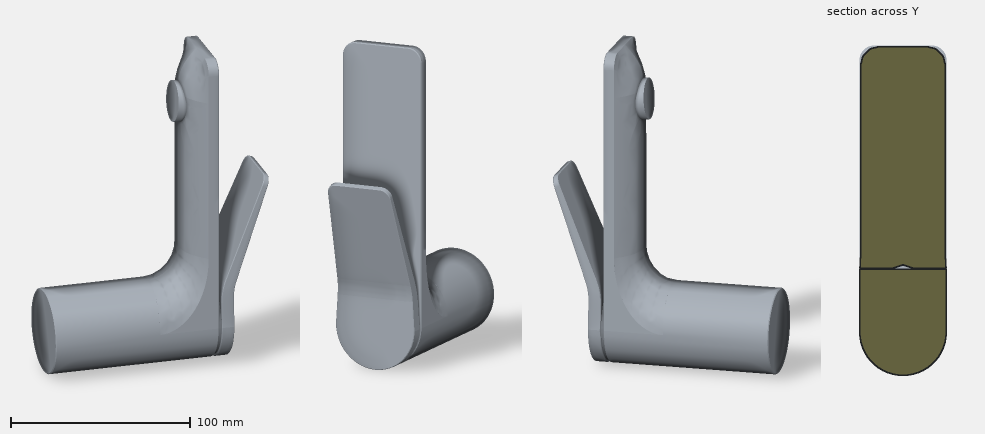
import cadquery as cq
import math


barrel_radius = 24.25
barrel_length = 95.1
housing_height = 184.0
top_z = housing_height - barrel_radius
plate_thickness = 6.2
top_corner_radius = 8.0
edge_chamfer = 0.5

crown_depth = 10.7
crown_edge_angle = 45.0
crown_edge_handle = 11.0
crown_apex_handle = 12.0
cap_bottom_z = top_z - barrel_radius

elbow_top_z = 42.4
elbow_front_y = -34.4
elbow_foot_reach = -plate_thickness - elbow_front_y
elbow_steps = 6

circle_edge_angle = 90.0
circle_handle = barrel_radius * 4 / 3 * (math.sqrt(2) - 1)

aerator_radius = 11.7
aerator_center_z = 129.65
aerator_face_y = -20.1
aerator_tilt_angle = 4.5
aerator_length = 8.0

spacer_radius = 23.0
spacer_thickness = 1.6

lever_thickness = 7.3
lever_tip_y = 31.49
lever_tip_thickness = 3.1
lever_front_lean = 22.8
lever_bend_z = 21.7
lever_back_bend_radius = 28.0
lever_side_taper = 3.55
lever_corner_radius = 6.0
lever_edge_chamfer = 0.4


def bezier_edge(control_points):
    return cq.Edge.makeBezier([cq.Vector(*point) for point in control_points])


def arch_edge(base, apex, edge_angle, edge_handle, apex_handle, side):
    """Half of an arch in the plane through X and the base and apex (Y, Z) points."""
    depth = math.hypot(apex[0] - base[0], apex[1] - base[1])
    rise_y = (apex[0] - base[0]) / depth
    rise_z = (apex[1] - base[1]) / depth

    def at(x, rise):
        return (side * x, base[0] + rise * rise_y, base[1] + rise * rise_z)

    angle = math.radians(edge_angle)
    return bezier_edge([
        at(barrel_radius, 0),
        at(barrel_radius - edge_handle * math.cos(angle), edge_handle * math.sin(angle)),
        at(apex_handle, depth),
        at(0, depth),
    ])


def arch_wire(base, apex, edge_angle, edge_handle, apex_handle):
    """Closed arch section: both halves and the straight base between their feet."""
    halves = [
        arch_edge(base, apex, edge_angle, edge_handle, apex_handle, side) for side in (1, -1)
    ]
    foot_line = cq.Edge.makeLine(
        cq.Vector(-barrel_radius, *base), cq.Vector(barrel_radius, *base)
    )
    return cq.Wire.assembleEdges([halves[0], halves[1], foot_line])


def crown_wire(z):
    return arch_wire(
        (-plate_thickness, z),
        (-plate_thickness - crown_depth, z),
        crown_edge_angle,
        crown_edge_handle,
        crown_apex_handle,
    )


def make_plate():
    blank = (
        cq.Workplane("XZ")
        .rect(2 * barrel_radius, top_z)
        .extrude(plate_thickness)
        .translate((0, 0, top_z / 2))
    )
    return blank.edges("|Y and >Z").fillet(top_corner_radius)


def make_barrel():
    return cq.Workplane("XZ").circle(barrel_radius).extrude(barrel_length)


def make_arm_crown():
    section = cq.Face.makeFromWires(crown_wire(elbow_top_z))
    height = cap_bottom_z - elbow_top_z
    return cq.Workplane(cq.Solid.extrudeLinear(section, cq.Vector(0, 0, height)))


def make_cap_half():
    """Right half of the domed top end: one smooth face over the rounded plate corner."""
    base_y = -plate_thickness
    apex_y = base_y - crown_depth
    corner_x = barrel_radius - top_corner_radius
    corner_z = top_z - top_corner_radius
    corner_reach = top_corner_radius * math.sqrt(0.5)
    angle = math.radians(crown_edge_angle)

    center_bottom = cq.Vector(0, base_y, cap_bottom_z)
    side_bottom = cq.Vector(barrel_radius, base_y, cap_bottom_z)
    side_top = cq.Vector(barrel_radius, base_y, corner_z)
    corner_middle = cq.Vector(corner_x + corner_reach, base_y, corner_z + corner_reach)
    corner_end = cq.Vector(corner_x, base_y, top_z)
    center_top = cq.Vector(0, base_y, top_z)

    section = arch_edge(
        (base_y, cap_bottom_z),
        (apex_y, cap_bottom_z),
        crown_edge_angle,
        crown_edge_handle,
        crown_apex_handle,
        1,
    )
    rim = [
        cq.Edge.makeLine(side_bottom, side_top),
        cq.Edge.makeThreePointArc(side_top, corner_middle, corner_end),
        cq.Edge.makeLine(corner_end, center_top),
    ]
    ridge = bezier_edge([
        (0, base_y, top_z),
        (0, base_y - crown_edge_handle * math.sin(angle), top_z - crown_edge_handle * math.cos(angle)),
        (0, apex_y, cap_bottom_z + crown_apex_handle),
        (0, apex_y, cap_bottom_z),
    ])
    foot = cq.Edge.makeLine(center_bottom, side_bottom)
    apex_line = cq.Edge.makeLine(center_bottom, cq.Vector(0, apex_y, cap_bottom_z))
    center_line = cq.Edge.makeLine(center_bottom, center_top)

    dome = cq.Face.makeNSidedSurface([section, *rim, ridge], [])
    flat_outlines = (
        [section, foot, apex_line],
        [*rim, foot, center_line],
        [ridge, apex_line, center_line],
    )
    flats = [cq.Face.makeFromWires(cq.Wire.combine(edges)[0]) for edges in flat_outlines]
    return cq.Workplane(cq.Solid.makeSolid(cq.Shell.makeShell([dome, *flats])))


def make_cap():
    half = make_cap_half()
    return half.union(half.mirror("YZ"))


def make_elbow():
    """Loft whose feet and ridge follow quarter ellipses from the arm to the barrel."""
    ridge_reach_y = elbow_foot_reach - crown_depth
    ridge_reach_z = elbow_top_z - barrel_radius

    sections = []
    for step in range(elbow_steps + 1):
        turn = math.pi / 2 * step / elbow_steps
        share = math.sin(turn) ** 2
        foot = (
            elbow_front_y + elbow_foot_reach * math.cos(turn),
            elbow_top_z * (1 - math.sin(turn)),
        )
        ridge = (
            elbow_front_y + ridge_reach_y * math.cos(turn),
            elbow_top_z - ridge_reach_z * math.sin(turn),
        )
        sections.append(arch_wire(
            foot,
            ridge,
            crown_edge_angle + share * (circle_edge_angle - crown_edge_angle),
            crown_edge_handle + share * (circle_handle - crown_edge_handle),
            crown_apex_handle + share * (circle_handle - crown_apex_handle),
        ))
    return cq.Workplane(cq.Solid.makeLoft(sections))


def make_elbow_web():
    """Flat-sided fill between the plate, the barrel and the feet of the elbow."""
    hollow = (
        cq.Workplane("YZ")
        .center(elbow_front_y, elbow_top_z)
        .ellipse(elbow_foot_reach, elbow_top_z)
        .extrude(barrel_radius, both=True)
    )
    block = (
        cq.Workplane("YZ")
        .moveTo(0, 0)
        .lineTo(elbow_front_y, 0)
        .lineTo(elbow_front_y, elbow_top_z)
        .lineTo(0, elbow_top_z)
        .close()
        .extrude(barrel_radius, both=True)
    )
    return block.cut(hollow)


def make_aerator():
    tilt = math.radians(aerator_tilt_angle)
    face = cq.Plane(
        origin=(0, aerator_face_y, aerator_center_z),
        xDir=(1, 0, 0),
        normal=(0, -math.cos(tilt), math.sin(tilt)),
    )
    return cq.Workplane(face).circle(aerator_radius).extrude(-aerator_length)


def make_housing():
    housing = make_barrel().union(make_plate()).union(make_elbow_web())
    housing = housing.union(make_elbow()).union(make_arm_crown()).union(make_cap())
    housing = housing.faces("<Y").edges().chamfer(edge_chamfer)
    housing = housing.faces(">Y").edges().chamfer(edge_chamfer)
    return housing.cut(make_aerator())


def make_spacer():
    return cq.Workplane("XZ").circle(spacer_radius).extrude(-spacer_thickness)


def box_around(x, y, z):
    """Selector for the edge whose middle lies at the given point."""
    reach = 1.0
    return cq.selectors.BoxSelector(
        (x - reach, y - reach, z - reach),
        (x + reach, y + reach, z + reach),
    )


def is_lever_rim(edge, tip_center_z):
    """True for the outline of the front and back; false for bend lines and thickness edges."""
    tolerance = 1e-4
    box = edge.BoundingBox()
    crosses_thickness = box.xlen < tolerance
    is_bend_line = box.zlen < tolerance and box.zmax < tip_center_z - lever_tip_thickness
    return not crosses_thickness and not is_bend_line


def make_lever():
    """Bent, thinning side profile trimmed to a round-based, tapering front outline."""
    front_y = spacer_thickness
    back_y = front_y + lever_thickness
    lean = math.radians(lever_front_lean)
    tip_drop = lever_tip_thickness * math.sin(lean)
    tip_front_y = lever_tip_y - lever_tip_thickness * math.cos(lean)
    tip_z = lever_bend_z + (tip_front_y - front_y) / math.tan(lean)

    profile = (
        cq.Workplane("YZ")
        .moveTo(front_y, -barrel_radius)
        .lineTo(front_y, lever_bend_z)
        .lineTo(tip_front_y, tip_z)
        .lineTo(lever_tip_y, tip_z - tip_drop)
        .lineTo(back_y, lever_bend_z)
        .lineTo(back_y, -barrel_radius)
        .close()
        .extrude(barrel_radius, both=True)
    )
    front_bend_radius = lever_back_bend_radius + lever_thickness
    profile = profile.edges(box_around(0, front_y, lever_bend_z)).fillet(front_bend_radius)
    profile = profile.edges(box_around(0, back_y, lever_bend_z)).fillet(lever_back_bend_radius)

    tip_x = barrel_radius - tip_z * math.tan(math.radians(lever_side_taper))
    outline = (
        cq.Workplane("XZ")
        .moveTo(-barrel_radius, 0)
        .threePointArc((0, -barrel_radius), (barrel_radius, 0))
        .lineTo(tip_x, tip_z)
        .lineTo(-tip_x, tip_z)
        .close()
        .extrude(-lever_tip_y)
    )
    lever = profile.intersect(outline)

    tip_center_y = (tip_front_y + lever_tip_y) / 2
    tip_center_z = tip_z - tip_drop / 2
    lever = lever.edges(box_around(-tip_x, tip_center_y, tip_center_z)).fillet(lever_corner_radius)
    lever = lever.edges(box_around(tip_x, tip_center_y, tip_center_z)).fillet(lever_corner_radius)
    rim = [edge for edge in lever.edges().vals() if is_lever_rim(edge, tip_center_z)]
    return lever.newObject(rim).chamfer(lever_edge_chamfer)


housing = make_housing()
aerator = make_aerator()
spacer = make_spacer()
lever = make_lever()

result = cq.Compound.makeCompound([
    housing.val(),
    aerator.val(),
    spacer.val(),
    lever.val(),
])